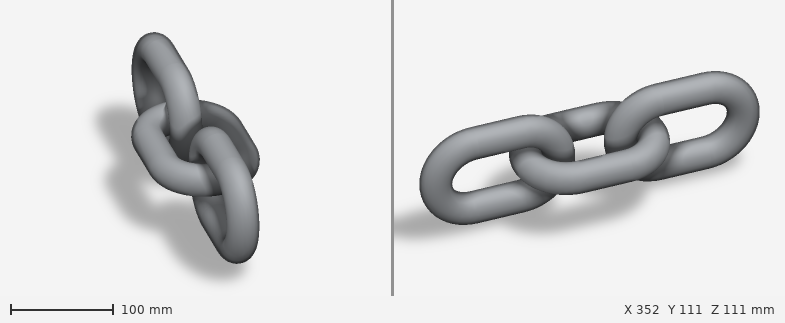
import cadquery as cq

bar_diameter = 32.0
link_width = 111.0
link_length = 160.0
link_count = 3

bar_radius = bar_diameter / 2
bend_radius = (link_width - bar_diameter) / 2
half_straight = (link_length - link_width) / 2
link_pitch = link_length - 2 * bar_diameter


def straight_bar(side):
    """Straight round bar along X, on the given side (+1 or -1) of the link."""
    return (
        cq.Workplane("YZ", origin=(-half_straight, 0, side * bend_radius))
        .circle(bar_radius)
        .extrude(2 * half_straight)
    )


def end_bend(end):
    """Half-torus bend closing the given end (+1 or -1) of the link."""
    return (
        cq.Workplane("YZ", origin=(end * half_straight, 0, 0))
        .center(0, bend_radius)
        .circle(bar_radius)
        .revolve(180, (0, -bend_radius), (end, -bend_radius))
    )


def chain_link():
    """One closed link standing in the XZ plane, centred on the origin."""
    return straight_bar(1).union(straight_bar(-1)).union(end_bend(1)).union(end_bend(-1))


links = []
for index in range(link_count):
    link = chain_link()
    if index % 2 == 1:
        link = link.rotate((0, 0, 0), (1, 0, 0), 90)
    offset = (index - (link_count - 1) / 2) * link_pitch
    links.append(link.translate((offset, 0, 0)).solids().val())

result = cq.Compound.makeCompound(links)